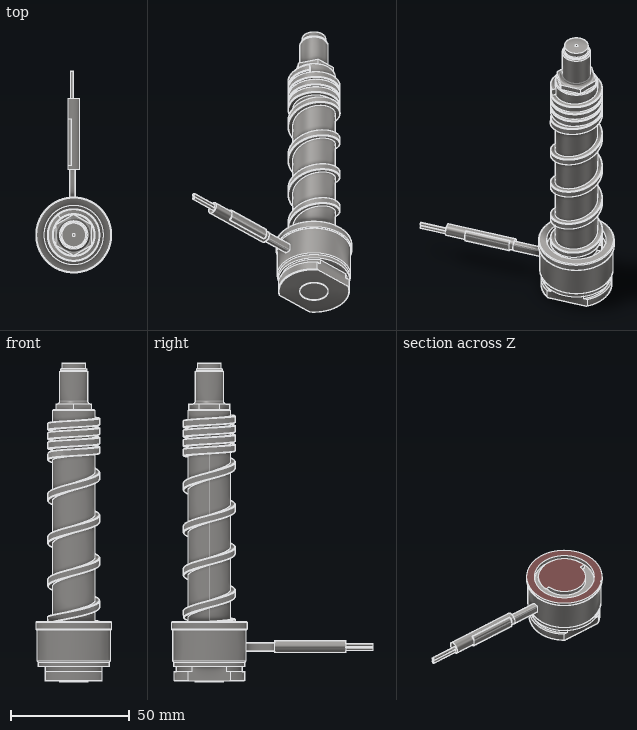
import cadquery as cq
import math

pad_dia, pad_height = 12.0, 0.35
foot_dia, foot_top = 30.0, 4.3
foot_chamfer = 0.3
groove_dia, groove_top = 28.0, 6.4
ring_dia, ring_top = 30.0, 8.2
body_dia = 31.0
body_chamfer = 0.5
flange_dia, flange_bottom, flange_top = 32.0, 21.8, 25.45
flange_chamfer = 0.4
flat_spacing = 24.0
recess_dia, recess_depth = 25.0, 4.0
recess_floor = flange_top - recess_depth

tube_dia, tube_top = 18.0, 114.6
tube_chamfer = 0.4
hex_across_flats, hex_top = 15.0, 117.0
hex_turn = 30.0
rod_dia, rod_shoulder = 12.0, 130.6
rod_fillet = 1.2
neck_dia, neck_top = 11.0, 132.0
neck_chamfer = 0.3
tip_dia, total_height = 10.0, 134.2
centre_hole_dia, centre_hole_depth = 1.2, 1.0

spring_outer_dia = 22.0
wire_height, wire_chamfer = 3.1, 0.3
wire_bite = 0.5
spring_top_z = 111.0
spring_top_angle = 128.0
tight_pitch, open_pitch = 4.0, 18.0
top_tight_turns = 3.67
easing_turns = 0.4
open_turns = 3.43
points_per_turn = 24

sleeve_dia, sleeve_start, sleeve_end, sleeve_z = 5.0, 27.5, 57.5, 14.85
clip_start, clip_end = 29.2, 48.8
clip_depth, clip_fillet = 1.6, 1.2
cable_z = 14.65
cord_width, cord_height, cord_x, cord_fillet = 2.5, 3.7, -0.6, 0.4
cord_inset = 1.0
lead_dia, lead_spacing, lead_x, lead_end = 1.3, 1.7, -0.8, 69.0


def disc(diameter, bottom, top):
    return cq.Workplane("XY").workplane(offset=bottom).circle(diameter / 2).extrude(top - bottom)


def make_base():
    foot = disc(foot_dia, pad_height, foot_top).faces("<Z").chamfer(foot_chamfer)
    foot = foot.union(disc(groove_dia, foot_top, groove_top))
    foot_height = groove_top - pad_height
    flats = cq.Workplane("XY").box(flat_spacing, foot_dia, foot_height, centered=(True, True, False))
    foot = foot.intersect(flats.translate((0, 0, pad_height)))

    body = disc(body_dia, ring_top, flange_bottom).faces("<Z").chamfer(body_chamfer)
    flange = disc(flange_dia, flange_bottom, flange_top).faces("<Z or >Z").chamfer(flange_chamfer)
    base = foot.union(disc(pad_dia, 0, pad_height))
    base = base.union(disc(ring_dia, groove_top, ring_top))
    base = base.union(body).union(flange)
    return base.cut(disc(recess_dia, recess_floor, flange_top))


def make_hexagon():
    corner_dia = hex_across_flats / math.cos(math.pi / 6)
    return (
        cq.Workplane("XY")
        .workplane(offset=tube_top)
        .polygon(6, corner_dia)
        .extrude(hex_top - tube_top)
        .rotate((0, 0, 0), (0, 0, 1), hex_turn)
    )


def make_rod():
    rod_r, neck_r, tip_r = rod_dia / 2, neck_dia / 2, tip_dia / 2
    rod = (
        cq.Workplane("XZ")
        .moveTo(0, hex_top)
        .lineTo(rod_r + rod_fillet, hex_top)
        .radiusArc((rod_r, hex_top + rod_fillet), rod_fillet)
        .lineTo(rod_r, rod_shoulder)
        .lineTo(neck_r, rod_shoulder + (rod_r - neck_r))
        .lineTo(neck_r, neck_top - neck_chamfer)
        .lineTo(tip_r, neck_top)
        .lineTo(tip_r, total_height)
        .lineTo(0, total_height)
        .close()
        .revolve(360, (0, 0, 0), (0, 1, 0))
    )
    hole_bottom = total_height - centre_hole_depth
    return rod.cut(disc(centre_hole_dia, hole_bottom, total_height))


def spring_drop(turn):
    """Descent of the wire below its upper end after a number of turns."""
    gain = open_pitch - tight_pitch
    opened = min(max(turn - top_tight_turns, 0), easing_turns)
    fully_open = min(max(turn - top_tight_turns - easing_turns, 0), open_turns)
    closed = min(max(turn - top_tight_turns - easing_turns - open_turns, 0), easing_turns)
    ramp_up = opened ** 2 / (2 * easing_turns)
    ramp_down = closed - closed ** 2 / (2 * easing_turns)
    return tight_pitch * turn + gain * (ramp_up + fully_open + ramp_down)


def make_spring():
    inner_r = tube_dia / 2 - wire_bite
    outer_r = spring_outer_dia / 2
    half = wire_height / 2
    lowest_drop = spring_top_z - half - recess_floor
    eased = top_tight_turns + 2 * easing_turns + open_turns
    total_turns = eased + (lowest_drop - spring_drop(eased)) / tight_pitch

    count = math.ceil(total_turns * points_per_turn)
    path = []
    for i in range(count + 1):
        turn = total_turns * i / count
        angle = -2 * math.pi * turn
        path.append((outer_r * math.cos(angle), outer_r * math.sin(angle), -spring_drop(turn)))

    spine = cq.Workplane("XY").spline(path)
    section = (
        cq.Workplane("XZ")
        .moveTo(inner_r, -half)
        .lineTo(outer_r - wire_chamfer, -half)
        .lineTo(outer_r, -half + wire_chamfer)
        .lineTo(outer_r, half - wire_chamfer)
        .lineTo(outer_r - wire_chamfer, half)
        .lineTo(inner_r, half)
        .close()
    )
    spring = section.sweep(spine, isFrenet=True)
    return spring.rotate((0, 0, 0), (0, 0, 1), spring_top_angle).translate((0, 0, spring_top_z))


def along_y(start, x, z):
    """Workplane facing +Y at the given start, with its origin at x, z."""
    return cq.Workplane(cq.Plane((x, start, z), xDir=(1, 0, 0), normal=(0, 1, 0)))


def make_cable():
    cord_start = body_dia / 2 - cord_inset
    cord = along_y(cord_start, cord_x, cable_z).rect(cord_width, cord_height)
    cord = cord.extrude(sleeve_start - cord_start).edges("|Y").fillet(cord_fillet)
    sleeve = along_y(sleeve_start, 0, sleeve_z).circle(sleeve_dia / 2).extrude(sleeve_end - sleeve_start)

    clip_x = (clip_depth - sleeve_dia) / 2
    clip = along_y(clip_start, clip_x, sleeve_z).rect(clip_depth, sleeve_dia)
    clip = clip.extrude(clip_end - clip_start).edges("|Y and <X").fillet(clip_fillet)

    cable = cord.union(sleeve).union(clip)
    for side in (-1, 1):
        lead_z = cable_z + side * lead_spacing / 2
        lead = along_y(sleeve_end, lead_x, lead_z).circle(lead_dia / 2).extrude(lead_end - sleeve_end)
        cable = cable.union(lead)
    return cable


tube = disc(tube_dia, recess_floor, tube_top).faces(">Z").chamfer(tube_chamfer)
result = make_base().union(tube).union(make_hexagon()).union(make_rod())
result = result.union(make_spring()).union(make_cable())